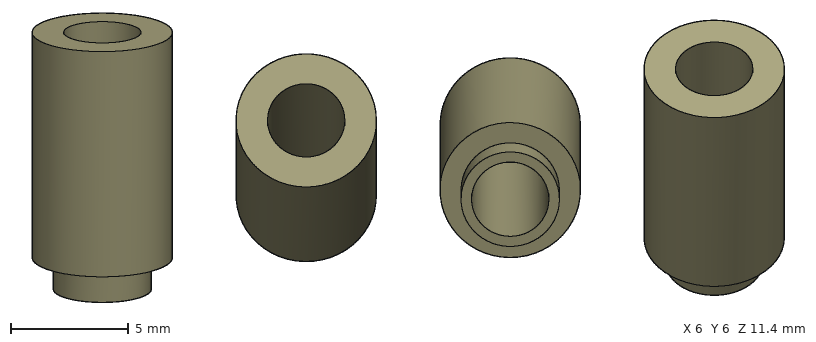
import cadquery as cq

body_diameter = 6.0
body_length = 10.0
spigot_diameter = 4.2
spigot_length = 1.4
bore_diameter = 3.3

total_length = body_length + spigot_length


def make_body():
    """Main cylindrical sleeve, standing on the shoulder plane Z = 0."""
    return cq.Workplane("XY").circle(body_diameter / 2).extrude(body_length)


def make_spigot():
    """Reduced-diameter locating end below the shoulder."""
    return cq.Workplane("XY").circle(spigot_diameter / 2).extrude(-spigot_length)


def make_bore():
    """Through bore running the full length of the spacer."""
    return (
        cq.Workplane("XY")
        .workplane(offset=-spigot_length)
        .circle(bore_diameter / 2)
        .extrude(total_length)
    )


result = make_body().union(make_spigot()).cut(make_bore())